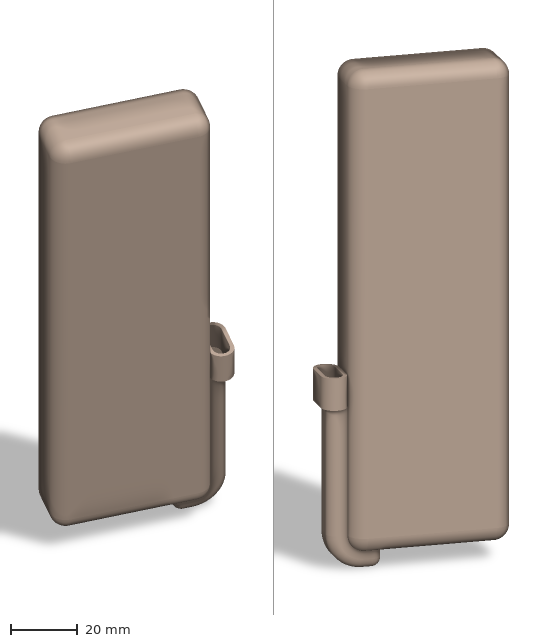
import cadquery as cq

case_width = 20.0
case_depth = 50.0
case_height = 150.0
case_fillet = 5.0

cable_width = case_width - 2 * case_fillet
strand_radius = 3.0
strand_thickness = 2 * strand_radius
strand_offset = cable_width / 2 - strand_radius
foot_length = 3.0

socket_width = 16.0
socket_depth = 8.0
socket_height = 10.0
socket_bottom = 45.1
socket_wall = 1.2
socket_floor = socket_wall

bend_y = case_depth - case_fillet
bend_z = case_fillet
tip_y = bend_y - foot_length


def make_case():
    block = cq.Workplane("XY").box(case_width, case_depth, case_height, centered=(True, False, False))
    return block.edges().fillet(case_fillet)


def strand_section(workplane, x, inner):
    """Draw a strand section: flat towards the case, half round on the outside."""
    shoulder = inner + strand_radius
    return (
        workplane.moveTo(x - strand_radius, inner)
        .lineTo(x - strand_radius, shoulder)
        .threePointArc((x, inner + strand_thickness), (x + strand_radius, shoulder))
        .lineTo(x + strand_radius, inner)
        .close()
    )


def make_strand(x):
    riser = strand_section(cq.Workplane("XY", origin=(0, 0, bend_z)), x, case_depth)
    riser = riser.extrude(socket_bottom - bend_z)

    bend_plane = cq.Workplane("XY", origin=(0, bend_y, bend_z))
    bend = strand_section(bend_plane, x, case_fillet).revolve(90, (0, 0, 0), (-1, 0, 0))

    foot_plane = cq.Workplane(cq.Plane(origin=(0, bend_y, 0), xDir=(1, 0, 0), normal=(0, -1, 0)))
    foot = strand_section(foot_plane.transformed(rotate=(0, 0, 180)), x, 0).extrude(foot_length)

    tip_post = cq.Workplane("XY", origin=(x, tip_y, 0)).circle(strand_radius).extrude(-strand_radius)
    tip_ball = cq.Workplane("XY", origin=(x, tip_y, -strand_radius)).sphere(strand_radius)
    return riser.union(bend).union(foot).union(tip_post).union(tip_ball)


def make_cable():
    return make_strand(-strand_offset).union(make_strand(strand_offset))


def make_socket():
    axis_y = case_depth + socket_depth / 2
    cup = (
        cq.Workplane("XY", origin=(0, axis_y, socket_bottom))
        .slot2D(socket_width, socket_depth)
        .extrude(socket_height)
    )
    opening = (
        cq.Workplane("XY", origin=(0, axis_y, socket_bottom + socket_floor))
        .slot2D(socket_width - 2 * socket_wall, socket_depth - 2 * socket_wall)
        .extrude(socket_height - socket_floor)
    )
    return cup.cut(opening)


case = make_case()
cable = make_cable()
socket = make_socket()

result = cq.Compound.makeCompound([case.val(), cable.val(), socket.val()])